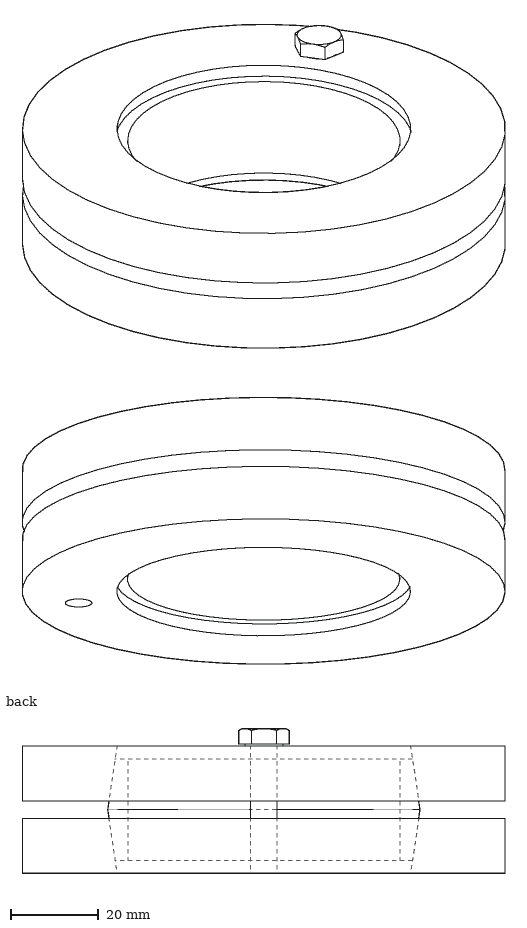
import cadquery as cq
import math

disc_diameter = 110.0
disc_thickness = 12.5
disc_gap = 4.0
mouth_diameter = 66.9
wide_diameter = 70.6

ring_bore = 62.0
ring_recess = 3.0

bolt_y = 43.0
shank_diameter = 6.0
collar_diameter = 8.7
collar_height = 0.4
head_across_flats = 10.0
head_height = 3.5
head_chamfer_angle = 30.0

stack_height = 2 * disc_thickness + disc_gap
mid_height = stack_height / 2
taper = (wide_diameter - mouth_diameter) / 2 / disc_thickness
ring_mid_radius = mouth_diameter / 2 + taper * mid_height
ring_end_radius = mouth_diameter / 2 + taper * ring_recess


def make_disc(is_upper):
    """Disc with a tapered bore, drilled through for the bolt shank."""
    base_z = disc_thickness + disc_gap if is_upper else 0
    bottom_diameter, top_diameter = mouth_diameter, wide_diameter
    if is_upper:
        bottom_diameter, top_diameter = wide_diameter, mouth_diameter
    disc = (
        cq.Workplane("XZ")
        .moveTo(bottom_diameter / 2, base_z)
        .lineTo(disc_diameter / 2, base_z)
        .lineTo(disc_diameter / 2, base_z + disc_thickness)
        .lineTo(top_diameter / 2, base_z + disc_thickness)
        .close()
        .revolve(360, (0, 0), (0, 1))
    )
    bolt_hole = (
        cq.Workplane("XY", origin=(0, bolt_y, base_z))
        .circle(shank_diameter / 2)
        .extrude(disc_thickness)
    )
    return disc.cut(bolt_hole)


def make_inner_ring():
    """Ring with a plain bore and two outer tapers that meet at mid height."""
    return (
        cq.Workplane("XZ")
        .moveTo(ring_bore / 2, ring_recess)
        .lineTo(ring_end_radius, ring_recess)
        .lineTo(ring_mid_radius, mid_height)
        .lineTo(ring_end_radius, stack_height - ring_recess)
        .lineTo(ring_bore / 2, stack_height - ring_recess)
        .close()
        .revolve(360, (0, 0), (0, 1))
    )


def make_bolt():
    """Hex bolt through both discs, with a round collar under its head."""
    shank = cq.Workplane("XY").circle(shank_diameter / 2).extrude(stack_height)
    collar = (
        cq.Workplane("XY", origin=(0, 0, stack_height))
        .circle(collar_diameter / 2)
        .extrude(collar_height)
    )
    head_base = stack_height + collar_height
    head_top = head_base + head_height
    across_corners = head_across_flats / math.cos(math.radians(30))
    head = (
        cq.Workplane("XY", origin=(0, 0, head_base))
        .polygon(6, across_corners)
        .extrude(head_height)
    )
    flat_radius = head_across_flats / 2
    corner_radius = across_corners / 2
    chamfer_drop = (corner_radius - flat_radius) * math.tan(math.radians(head_chamfer_angle))
    corner_trim = (
        cq.Workplane("XZ")
        .moveTo(0, head_base)
        .lineTo(corner_radius, head_base)
        .lineTo(corner_radius, head_top - chamfer_drop)
        .lineTo(flat_radius, head_top)
        .lineTo(0, head_top)
        .close()
        .revolve(360, (0, 0), (0, 1))
    )
    bolt = shank.union(collar).union(head.intersect(corner_trim))
    return bolt.translate((0, bolt_y, 0))


discs = [make_disc(is_upper) for is_upper in (False, True)]
inner_ring = make_inner_ring()
bolt = make_bolt()

result = cq.Compound.makeCompound(
    [*[disc.val() for disc in discs], inner_ring.val(), bolt.val()]
)